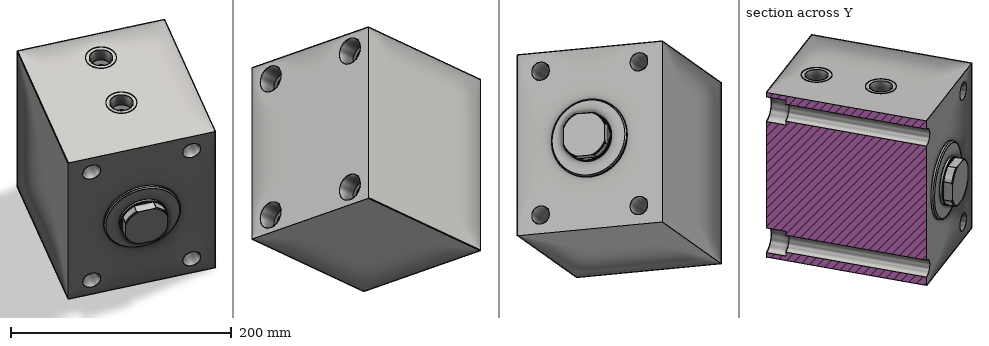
import cadquery as cq

block_length = 155.0
block_width = 140.0
block_height = 170.0
front_edge_chamfer = 0.5

mount_spacing_y = 95.0
mount_spacing_z = 135.0
mount_diameter = 17.0
mount_bore_diameter = 25.0
mount_bore_depth = 18.7

port_positions_x = [31.0, 93.2]
port_seat_diameter = 28.0
port_seat_depth = 0.3
port_diameter = 21.0
port_depth = 13.0
drilling_diameter = 8.5

overall_length = 170.0
rod_diameter = 44.9
rod_start = 15.0
rod_shoulder = 161.3
rod_shoulder_chamfer = 0.7
square_size = 40.0
square_corner_diameter = 44.0
square_end_chamfer = 0.8

cover_diameter = 72.6
cover_thickness = 3.2
cover_chamfer = 1.2


def along_x(diameter, start, end):
    """Cylinder on the rod axis between two X positions."""
    return cq.Workplane("YZ", origin=(start, 0, 0)).circle(diameter / 2).extrude(end - start)


def down_from_top(x, diameter, depth):
    """Cylinder that goes down from the top face of the block."""
    return cq.Workplane("XY", origin=(x, 0, block_height / 2)).circle(diameter / 2).extrude(-depth)


def make_block():
    block = cq.Workplane("XY").box(
        block_length, block_width, block_height, centered=(False, True, True)
    )
    block = block.faces("<Y").edges("|X").chamfer(front_edge_chamfer)

    block = (
        block.faces("<X")
        .workplane(origin=(0, 0, 0))
        .rarray(mount_spacing_y, mount_spacing_z, 2, 2)
        .cboreHole(mount_diameter, mount_bore_diameter, mount_bore_depth)
    )

    for x in port_positions_x:
        block = block.cut(down_from_top(x, port_seat_diameter, port_seat_depth))
        block = block.cut(down_from_top(x, port_diameter, port_depth))
        block = block.cut(down_from_top(x, drilling_diameter, block_height / 2))

    return block.cut(along_x(rod_diameter, rod_start, block_length))


def make_cover():
    cover = along_x(cover_diameter, block_length, block_length + cover_thickness)
    cover = cover.faces(">X").edges().chamfer(cover_chamfer)
    return cover.cut(along_x(rod_diameter, block_length, block_length + cover_thickness))


def make_rod():
    shaft = along_x(rod_diameter, rod_start, rod_shoulder)
    shaft = shaft.faces(">X").edges().chamfer(rod_shoulder_chamfer)

    end = along_x(square_corner_diameter, rod_shoulder, overall_length)
    end = end.faces(">X").edges().chamfer(square_end_chamfer)
    square = (
        cq.Workplane("YZ", origin=(rod_shoulder, 0, 0))
        .rect(square_size, square_size)
        .extrude(overall_length - rod_shoulder)
    )
    return shaft.union(end.intersect(square))


block = make_block()
cover = make_cover()
rod = make_rod()

result = cq.Compound.makeCompound([block.val(), cover.val(), rod.val()])